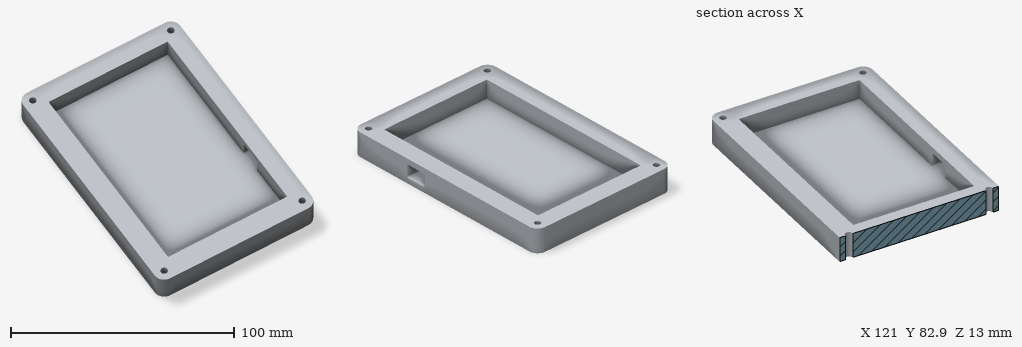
import cadquery as cq

pocket_length = 100.96
pocket_width = 62.91
pocket_depth = 10.0

wall_left = 9.5
wall_right = 10.5
wall_front = 10.5
wall_back = 9.5
floor_thickness = 3.0

length = wall_left + pocket_length + wall_right
width = wall_front + pocket_width + wall_back
height = floor_thickness + pocket_depth
corner_radius = 5.0

hole_diameter = 3.4

port_width = 11.5
port_height = 7.0
port_corner_radius = 1.0
port_to_pocket_right = 25.3


def make_block():
    """Rounded block centred on X and Y, with its bottom at Z = 0."""
    block = cq.Workplane("XY").box(length, width, height, centered=(True, True, False))
    return block.edges("|Z").fillet(corner_radius)


def make_pocket():
    """Sharp-cornered pocket, open at the top."""
    pocket = cq.Workplane("XY").box(pocket_length, pocket_width, pocket_depth, centered=False)
    return pocket.translate((wall_left - length / 2, wall_front - width / 2, floor_thickness))


def make_screw_holes():
    """Four through holes at the centres of the corner rounds."""
    spacing_x = length - 2 * corner_radius
    spacing_y = width - 2 * corner_radius
    holes = cq.Workplane("XY").rect(spacing_x, spacing_y, forConstruction=True).vertices()
    return holes.circle(hole_diameter / 2).extrude(height)


def make_port():
    """Opening through the back wall with rounded corners."""
    port_left = length / 2 - wall_right - port_to_pocket_right - port_width
    port = cq.Workplane("XY").box(port_width, wall_back, port_height, centered=False)
    port = port.edges("|Y").fillet(port_corner_radius)
    return port.translate((port_left, width / 2 - wall_back, floor_thickness))


result = make_block().cut(make_pocket()).cut(make_screw_holes()).cut(make_port())